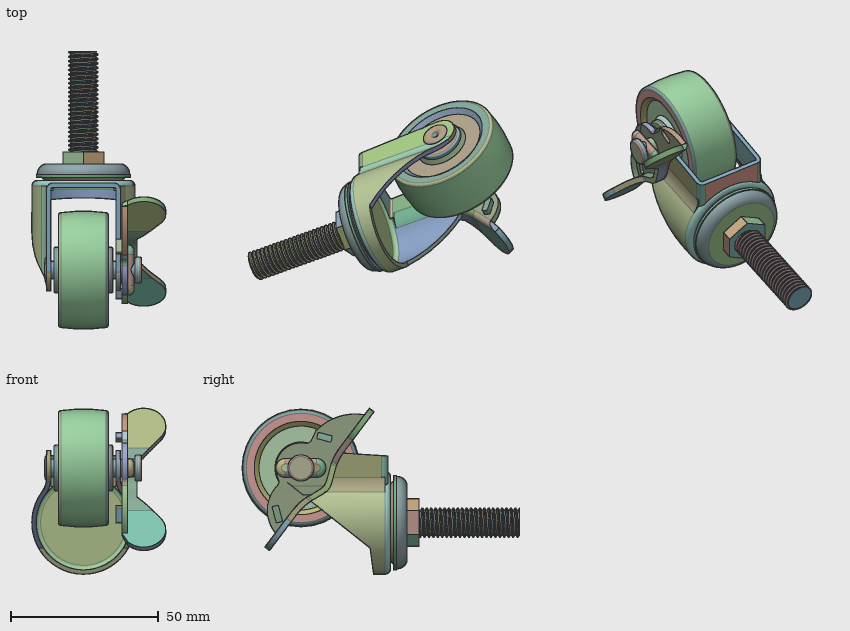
import cadquery as cq
import math


WHEEL_R = 20.0
TREAD_EDGE_R = 19.35
WHEEL_HALF = 8.5
TREAD_ROUND = 1.0
HUB_HALF = 10.0
HUB_R = 7.8
HUB_BASE_R = 8.8
HUB_ROUND = 0.7
RECESS_DEPTH = 1.5
RECESS_RIM_R = 15.8
RECESS_FLOOR_R = 14.2

AXLE_R = 3.0
HEAD_R = 4.45
RIVET_DIMPLE_R = 1.2
RIVET_HEIGHT = 0.6
END_HEAD_START = 17.5
END_HEAD_WIDTH = 2.2
END_HEAD_ROUND = 0.6

SHEET = 1.5
STEM_Z = -18.5
LEG_OUTER = 12.5
LEG_INNER = LEG_OUTER - SHEET
CUP_R = 17.5
CUP_INNER_R = CUP_R - SHEET
CUP_TOP_Y = 30.4
CUP_ROUND = 2.0
CUP_FLOOR_Y = CUP_TOP_Y - SHEET
WEB_Y = 29.5
WEB_INNER_Y = WEB_Y - SHEET
WEB_TOP_Z = 4.1
WEB_CORNER_R = 2.2
WEB_INNER_CORNER_R = WEB_CORNER_R - SHEET
BLEND_R = 8.4
BLEND_TOP = 15.5
TIP_R = 6.0
TIP_Y = -1.1
SKIRT_KNEE = (23.4, -27.1)
SKIRT_BOTTOM_Y = 24.6

DISC_R = 16.0
DISC_TOP_Y = 36.0
DISC_TOP_R = 12.9
DISC_BOTTOM_Y = 31.4
DISC_RIM_Y = 32.4
DISC_SHOULDER_R = 15.7
DISC_SHOULDER_MID = (15.0, 34.6)
NECK_TOP_R = 14.2
NECK_BOTTOM_R = 13.2
HEX_FLATS = 14.0
HEX_TOP_Y = 40.0
STEM_END_Y = 74.02
THREAD_R = 5.0
THREAD_ROOT_R = 4.3
THREAD_PITCH = 1.5
THREAD_CREST = 0.25
THREAD_BASE = 1.2
THREAD_SINK = 0.2
CORE_TURN = 77.0
OVERRUN_TURNS = 3

LEVER_TILT = -37.0
LEVER_THICK = 2.0
PLATE_X = 13.0
PLATE_OUT_X = PLATE_X + LEVER_THICK
LEVER_HUB_R = 8.5
FLANGE_FRONT_Y = 6.35
FLANGE_BACK_Y = FLANGE_FRONT_Y + LEVER_THICK
FLANGE_MID_Z = 0.7
WING_TIP_X = 27.89
PICK_MARGIN = 0.1
WING_TIP_Z = 29.45
WING_R = 7.5
WING_SLOPE = 39.0
WAIST_X = 18.2
WAIST_ROUND = 1.2
BEND_Z = 13.2
STRIP_HALF = WING_TIP_Z + 2 * FLANGE_MID_Z
BEND_SAG = 3.5
UPPER_ROOT_Z = 27.0
LOWER_ROOT_Z = 23.6
BEND_ROUND = 1.9
EAR_UPPER_Z = 27.4
EAR_UPPER_MID = (-0.3, 21.6)
EAR_UPPER_END = (-3.5, 13.0)
EAR_NECK_FRONT = 2.5
EAR_NECK_Z = 8.1
EAR_LOWER_MID = (1.3, -20.2)
EAR_LOWER_END = (FLANGE_FRONT_Y, -22.8)
NECK_ROUND = 2.0
RIB_LENGTH = 17.0
RIB_WIDTH = 6.4
RIB_HEIGHT = 2.2
RIB_ROUND = 1.9
TOOTH_WIDTH = 2.2
TOOTH_DEPTH = 2.0
TOOTH_ROUND = 0.4
TOOTH_TILT = -15.0
BRAKE_TEETH = (
    ((8.0, 10.4), 5.0, TOOTH_TILT),
    ((-8.0, -15.6), 5.7, 90.0 - TOOTH_TILT),
)


def x_cylinder(radius, x_start, x_end):
    return cq.Workplane("YZ", origin=(x_start, 0, 0)).circle(radius).extrude(x_end - x_start)


def spin_about_x(profile):
    return profile.close().revolve(360, (0, 0, 0), (1, 0, 0))


def make_wheel():
    floor_x = WHEEL_HALF - RECESS_DEPTH
    wheel = spin_about_x(
        cq.Workplane("XY")
        .moveTo(-WHEEL_HALF, 0)
        .lineTo(-WHEEL_HALF, TREAD_EDGE_R)
        .threePointArc((0, WHEEL_R), (WHEEL_HALF, TREAD_EDGE_R))
        .lineTo(WHEEL_HALF, 0)
    ).edges("%CIRCLE").fillet(TREAD_ROUND)
    for side in (-1, 1):
        recess = spin_about_x(
            cq.Workplane("XY")
            .moveTo(side * WHEEL_HALF, 0)
            .lineTo(side * WHEEL_HALF, RECESS_RIM_R)
            .lineTo(side * floor_x, RECESS_FLOOR_R)
            .lineTo(side * floor_x, 0)
        )
        boss = spin_about_x(
            cq.Workplane("XY")
            .moveTo(side * floor_x, 0)
            .lineTo(side * floor_x, HUB_BASE_R)
            .lineTo(side * WHEEL_HALF, HUB_R)
            .lineTo(side * HUB_HALF, HUB_R)
            .lineTo(side * HUB_HALF, 0)
        ).faces(">X" if side > 0 else "<X").edges().fillet(HUB_ROUND)
        wheel = wheel.cut(recess).union(boss)
    return wheel.cut(x_cylinder(AXLE_R, -HUB_HALF, HUB_HALF))


def make_axle():
    shaft = x_cylinder(AXLE_R, -LEG_OUTER, END_HEAD_START)
    dimple = spin_about_x(
        cq.Workplane("XY")
        .moveTo(-LEG_OUTER, 0)
        .lineTo(-LEG_OUTER, RIVET_DIMPLE_R)
        .lineTo(-LEG_OUTER + RIVET_DIMPLE_R, 0)
    )
    rivet = (
        cq.Workplane("XY")
        .moveTo(-LEG_OUTER, RIVET_DIMPLE_R)
        .threePointArc(
            (-LEG_OUTER - RIVET_HEIGHT, (RIVET_DIMPLE_R + HEAD_R) / 2),
            (-LEG_OUTER, HEAD_R),
        )
    )
    end_head = (
        x_cylinder(HEAD_R, END_HEAD_START, END_HEAD_START + END_HEAD_WIDTH)
        .edges()
        .fillet(END_HEAD_ROUND)
    )
    return shaft.cut(dimple).union(spin_about_x(rivet)).union(end_head)


def fork_section(half_width, radius, blend, top_z):
    """Keyhole outline about the stem axis: a round cup blending into two upright legs."""
    rise = math.sqrt((radius + blend) ** 2 - (half_width + blend) ** 2)
    reach = radius / (radius + blend)
    cup_x = (half_width + blend) * reach
    cup_z = rise * reach
    bend_angle = math.atan2(rise, half_width + blend) / 2
    mid_x = half_width + blend - blend * math.cos(bend_angle)
    mid_z = rise - blend * math.sin(bend_angle)
    return (
        cq.Workplane("XZ", origin=(0, 0, STEM_Z))
        .moveTo(-half_width, top_z)
        .lineTo(-half_width, rise)
        .threePointArc((-mid_x, mid_z), (-cup_x, cup_z))
        .threePointArc((0, -radius), (cup_x, cup_z))
        .threePointArc((mid_x, mid_z), (half_width, rise))
        .lineTo(half_width, top_z)
        .close()
    )


def tip_tangent(point, side):
    """Where a line from the point touches the rounded leg tip, above (1) or below (-1)."""
    dy = point[0] - TIP_Y
    dz = point[1]
    angle = math.atan2(dz, dy) + side * math.acos(TIP_R / math.hypot(dy, dz))
    return (TIP_Y + TIP_R * math.cos(angle), TIP_R * math.sin(angle))


def fork_side_profile():
    """Block with the fork's outline seen along X, wide enough to trim the whole shell."""
    bottom_z = STEM_Z - CUP_R
    web_top = (WEB_Y, WEB_TOP_Z)
    leg_end = (TIP_Y - TIP_R, 0)
    return (
        cq.Workplane("YZ", origin=(-CUP_R, 0, 0))
        .moveTo(*web_top)
        .lineTo(*tip_tangent(web_top, 1))
        .threePointArc(leg_end, tip_tangent(SKIRT_KNEE, -1))
        .lineTo(*SKIRT_KNEE)
        .lineTo(SKIRT_BOTTOM_Y, bottom_z)
        .lineTo(CUP_TOP_Y, bottom_z)
        .lineTo(CUP_TOP_Y, WEB_TOP_Z)
        .close()
        .extrude(2 * CUP_R)
    )


def stem_cylinder(radius, y_top, y_bottom):
    return cq.Workplane("XZ", origin=(0, y_top, STEM_Z)).circle(radius).extrude(y_top - y_bottom)


def make_fork_shell():
    """Bent sheet: round cup, two legs for the axle and the upright web joining them."""
    front_y = TIP_Y - TIP_R
    section_top = TIP_R - STEM_Z
    rim_y = CUP_TOP_Y - CUP_ROUND
    skirt = (
        fork_section(LEG_OUTER, CUP_R, BLEND_R, BLEND_TOP)
        .extrude(rim_y - front_y)
        .translate((0, rim_y, 0))
    )
    cup = stem_cylinder(CUP_R, CUP_TOP_Y, SKIRT_BOTTOM_Y).faces(">Y").edges().fillet(CUP_ROUND)
    web_bottom_z = STEM_Z + math.sqrt(CUP_R**2 - LEG_OUTER**2)
    legs = (
        cq.Workplane("XY", origin=(0, (WEB_Y + front_y) / 2, web_bottom_z))
        .rect(2 * LEG_OUTER, WEB_Y - front_y)
        .extrude(TIP_R - web_bottom_z)
        .edges("|Z and >Y")
        .fillet(WEB_CORNER_R)
    )
    slot = fork_section(LEG_INNER, CUP_INNER_R, BLEND_R + SHEET, section_top)
    slot = slot.extrude(rim_y - front_y).translate((0, rim_y - SHEET, 0))
    web_slot = (
        cq.Workplane("XY", origin=(0, 0, web_bottom_z))
        .rect(2 * LEG_INNER, 2 * WEB_INNER_Y)
        .extrude(TIP_R - web_bottom_z)
        .edges("|Z and >Y")
        .fillet(WEB_INNER_CORNER_R)
    )
    cup_bore = stem_cylinder(CUP_INNER_R, CUP_FLOOR_Y, SKIRT_BOTTOM_Y - SHEET)
    cup_bore = cup_bore.faces(">Y").edges().fillet(SHEET)
    outside = skirt.union(cup).union(legs).intersect(fork_side_profile())
    axle_hole = x_cylinder(AXLE_R, -LEG_OUTER, LEG_OUTER)
    return outside.cut(slot).cut(web_slot).cut(cup_bore).cut(axle_hole)


def make_swivel_head():
    """Swivel disc on a tapered neck, with the hexagon on top of it."""
    disc = (
        cq.Workplane("XY")
        .moveTo(0, CUP_TOP_Y)
        .lineTo(NECK_BOTTOM_R, CUP_TOP_Y)
        .lineTo(NECK_TOP_R, DISC_BOTTOM_Y)
        .lineTo(DISC_R, DISC_BOTTOM_Y)
        .lineTo(DISC_R, DISC_RIM_Y)
        .lineTo(DISC_SHOULDER_R, DISC_RIM_Y)
        .threePointArc(DISC_SHOULDER_MID, (DISC_TOP_R, DISC_TOP_Y))
        .lineTo(0, DISC_TOP_Y)
        .close()
        .revolve(360, (0, 0, 0), (0, 1, 0))
        .translate((0, 0, STEM_Z))
    )
    hexagon = (
        cq.Workplane("XZ", origin=(0, HEX_TOP_Y, STEM_Z))
        .polygon(6, HEX_FLATS, circumscribed=True)
        .extrude(HEX_TOP_Y - DISC_TOP_Y)
    )
    return disc.union(hexagon)


def make_threaded_rod():
    """Helical ridge on a root cylinder, run past both ends and then cut to length."""
    length = STEM_END_Y - HEX_TOP_Y
    overrun = OVERRUN_TURNS * THREAD_PITCH
    sunk_r = THREAD_ROOT_R - THREAD_SINK
    ridge_path = cq.Workplane(obj=cq.Wire.makeHelix(THREAD_PITCH, length + 2 * THREAD_PITCH, THREAD_ROOT_R))
    ridge = (
        cq.Workplane("XZ")
        .moveTo(sunk_r, -THREAD_BASE / 2)
        .lineTo(THREAD_R, -THREAD_CREST / 2)
        .lineTo(THREAD_R, THREAD_CREST / 2)
        .lineTo(sunk_r, THREAD_BASE / 2)
        .close()
        .sweep(ridge_path, isFrenet=True)
        .translate((0, 0, -THREAD_PITCH))
    )
    core = (
        cq.Workplane("XY", origin=(0, 0, -overrun))
        .circle(THREAD_ROOT_R)
        .extrude(length + 2 * overrun)
        .rotate((0, 0, 0), (0, 0, 1), CORE_TURN)
    )
    rod = core.union(ridge).intersect(cq.Workplane("XY").circle(2 * THREAD_R).extrude(length))
    return rod.rotate((0, 0, 0), (1, 0, 0), -90).translate((0, HEX_TOP_Y, STEM_Z))


def bow_points(face_y, direction):
    """Middle and end of a strip face bowed backward between the bends; direction 1 runs upward."""
    return [(face_y + BEND_SAG, 0), (face_y, direction * BEND_Z)]


def make_lever_plate():
    """Flat cheek of the brake lever: a round hub at the axle between two ears."""
    ears = (
        cq.Workplane("YZ", origin=(PLATE_X, 0, 0))
        .moveTo(FLANGE_FRONT_Y, EAR_UPPER_Z)
        .threePointArc(EAR_UPPER_MID, EAR_UPPER_END)
        .lineTo(-EAR_NECK_FRONT, EAR_NECK_Z)
        .lineTo(-EAR_NECK_FRONT, -EAR_NECK_Z)
        .threePointArc(EAR_LOWER_MID, EAR_LOWER_END)
        .lineTo(FLANGE_FRONT_Y, -BEND_Z)
        .spline(bow_points(FLANGE_FRONT_Y, 1), tangents=[(0, 1), (0, 1)], includeCurrent=True)
        .close()
        .extrude(LEVER_THICK)
    )
    plate = ears.union(x_cylinder(LEVER_HUB_R, PLATE_X, PLATE_OUT_X))
    for neck_z in (-EAR_NECK_Z, EAR_NECK_Z):
        neck = cq.selectors.NearestToPointSelector((PLATE_X + LEVER_THICK / 2, -EAR_NECK_FRONT, neck_z))
        plate = plate.edges("|X").edges(neck).fillet(NECK_ROUND)
    return plate


def half_flange(side, root_z):
    """Block in the outline of one wing and half of the waist; side is 1 for the upper, -1 for the lower."""
    slope = math.radians(WING_SLOPE)
    centre_x = WING_TIP_X - WING_R
    centre_z = WING_TIP_Z - WING_R
    clip_z = centre_z + math.sqrt(WING_R**2 - (centre_x - PLATE_OUT_X) ** 2)
    leave = (centre_x + WING_R * math.cos(slope), centre_z - WING_R * math.sin(slope))
    waist_z = leave[1] - (leave[0] - WAIST_X) / math.tan(slope)
    through_depth = LEVER_THICK + 3 * BEND_SAG
    wing = (
        cq.Workplane("XZ", origin=(0, FLANGE_FRONT_Y - BEND_SAG, FLANGE_MID_Z))
        .moveTo(PLATE_X, 0)
        .lineTo(PLATE_X, side * root_z)
        .lineTo(PLATE_OUT_X, side * clip_z)
        .threePointArc((WING_TIP_X, side * centre_z), (leave[0], side * leave[1]))
        .lineTo(WAIST_X, side * waist_z)
        .lineTo(WAIST_X, 0)
        .close()
        .extrude(-through_depth)
    )
    waist_corner = cq.selectors.NearestToPointSelector(
        (WAIST_X, FLANGE_FRONT_Y, FLANGE_MID_Z + side * waist_z)
    )
    return wing.edges("|Y").edges(waist_corner).fillet(WAIST_ROUND)


def make_lever_flange():
    """Pedal strip along the back of the cheek, bowed backward between the two wings."""
    strip = (
        cq.Workplane("YZ", origin=(PLATE_X, 0, 0))
        .moveTo(FLANGE_FRONT_Y, -STRIP_HALF)
        .lineTo(FLANGE_FRONT_Y, -BEND_Z)
        .spline(bow_points(FLANGE_FRONT_Y, 1), tangents=[(0, 1), (0, 1)], includeCurrent=True)
        .lineTo(FLANGE_FRONT_Y, STRIP_HALF)
        .lineTo(FLANGE_BACK_Y, STRIP_HALF)
        .lineTo(FLANGE_BACK_Y, BEND_Z)
        .spline(bow_points(FLANGE_BACK_Y, -1), tangents=[(0, -1), (0, -1)], includeCurrent=True)
        .lineTo(FLANGE_BACK_Y, -STRIP_HALF)
        .close()
        .extrude(WING_TIP_X - PLATE_X)
    )
    back_corner = cq.selectors.BoxSelector(
        (PLATE_X - PICK_MARGIN, FLANGE_BACK_Y - PICK_MARGIN, -STRIP_HALF),
        (PLATE_X + PICK_MARGIN, FLANGE_BACK_Y + BEND_SAG + PICK_MARGIN, STRIP_HALF),
    )
    strip = strip.faces("<X").edges(back_corner).edges("not |Y").fillet(BEND_ROUND)
    return strip.intersect(half_flange(1, UPPER_ROOT_Z).union(half_flange(-1, LOWER_ROOT_Z)))


def make_brake_tooth(centre, length, tilt):
    """Stop block on the wheel side of the cheek, its length turned about X from the Y axis."""
    return (
        cq.Workplane("YZ", origin=(PLATE_X, 0, 0))
        .rect(length, TOOTH_WIDTH)
        .extrude(-TOOTH_DEPTH)
        .edges("|X")
        .fillet(TOOTH_ROUND)
        .rotate((0, 0, 0), (1, 0, 0), tilt)
        .translate((0, *centre))
    )


def make_brake_lever():
    rib = (
        cq.Workplane("YZ", origin=(PLATE_OUT_X, 0, 0))
        .slot2D(RIB_LENGTH, RIB_WIDTH)
        .extrude(RIB_HEIGHT)
        .faces(">X")
        .edges()
        .fillet(RIB_ROUND)
    )
    lever = make_lever_plate().union(make_lever_flange())
    lever = lever.rotate((0, 0, 0), (1, 0, 0), LEVER_TILT).union(rib)
    for centre, length, tilt in BRAKE_TEETH:
        lever = lever.union(make_brake_tooth(centre, length, tilt))
    return lever.cut(x_cylinder(AXLE_R, PLATE_X, END_HEAD_START))


wheel = make_wheel()
axle = make_axle()
brake_lever = make_brake_lever()
fork = make_fork_shell().union(make_swivel_head()).union(make_threaded_rod())
outward_clearance = brake_lever.translate((LEVER_THICK, 0, 0))
fork = fork.cut(brake_lever).cut(outward_clearance).cut(axle)

result = cq.Compound.makeCompound([fork.val(), wheel.val(), axle.val(), brake_lever.val()])